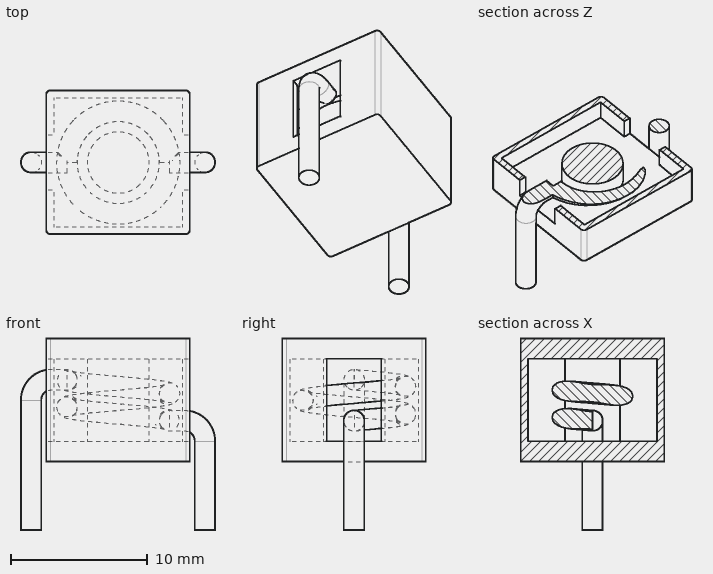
import cadquery as cq

core_side = 10.5
core_height = 9.0
corner_radius = 0.3
window_width = 4.0
window_height = 6.0
cavity_side = 9.4
post_diameter = 4.5

wire_diameter = 1.5
coil_radius = 3.75
coil_pitch = 2.0
coil_turns = 1.5
lead_offset = 6.35
bend_radius = 1.5
lead_tip_height = -5.0

mid_height = core_height / 2
coil_rise = coil_pitch * coil_turns
low_lead_height = mid_height - coil_rise / 2
high_lead_height = mid_height + coil_rise / 2


def make_core():
    """Block with a square cavity around the centre post, open through a window at both X ends."""
    block = cq.Workplane("XY").box(core_side, core_side, core_height)
    block = block.edges("|Z").fillet(corner_radius)
    window = cq.Workplane("XY").box(core_side, window_width, window_height)
    cavity = cq.Workplane("XY").box(cavity_side, cavity_side, window_height)
    post = cq.Workplane("XY").cylinder(window_height, post_diameter / 2)
    hollow = window.union(cavity).cut(post)
    return block.cut(hollow).translate((0, 0, mid_height))


def make_coil():
    """Right-handed helix around the post, from the low lead at +X to the high lead at -X."""
    helix = cq.Wire.makeHelix(coil_pitch, coil_rise, coil_radius)
    profile = cq.Workplane("XZ", origin=(coil_radius, 0, 0)).circle(wire_diameter / 2)
    coil = profile.sweep(cq.Workplane(helix), isFrenet=True)
    return coil.translate((0, 0, low_lead_height))


def make_lead(side, height):
    """Lead leaving the coil end along X (side is +1 or -1), then bent straight down to its tip."""
    path = (
        cq.Workplane("XZ")
        .moveTo(side * coil_radius, height)
        .lineTo(side * (lead_offset - bend_radius), height)
        .radiusArc((side * lead_offset, height - bend_radius), side * bend_radius)
        .lineTo(side * lead_offset, lead_tip_height)
    )
    profile = cq.Workplane("YZ", origin=(side * coil_radius, 0, height)).circle(wire_diameter / 2)
    return profile.sweep(path)


def make_wire():
    """One continuous wire: the coil joined to its two leads."""
    wire = make_coil()
    for side, height in ((1, low_lead_height), (-1, high_lead_height)):
        wire = wire.union(make_lead(side, height))
    return wire


core = make_core()
wire = make_wire()
result = cq.Compound.makeCompound([*core.solids().vals(), *wire.solids().vals()])